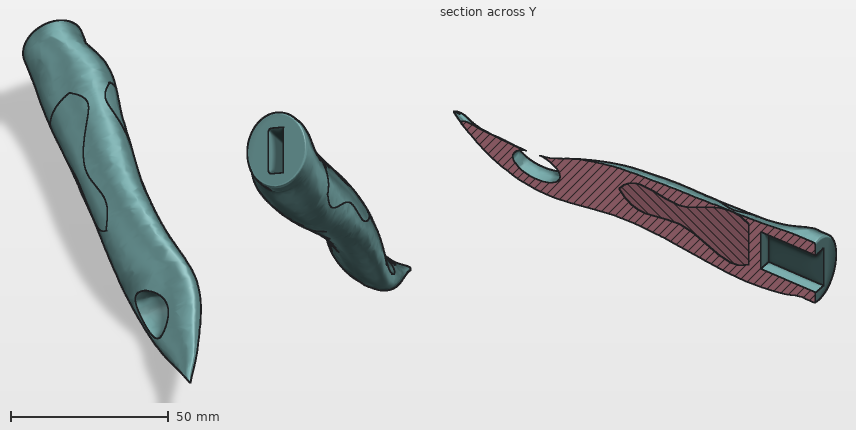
import cadquery as cq
import math

LENGTH = 141.0

COLLAR_LENGTH = 4.0
COLLAR_WIDTH = 20.0
COLLAR_HEIGHT = 25.1
BUTT_FILLET = 0.8

SLOT_WIDTH = 5.0
SLOT_HEIGHT = 15.1
SLOT_DEPTH = 21.2
SLOT_CENTER_Y = 0.21
SLOT_CENTER_Z = -0.3
SLOT_CORNER_RADIUS = 1.1

COLLAR_SECTION = (-COLLAR_WIDTH / 2, COLLAR_WIDTH / 2, -COLLAR_HEIGHT / 2, COLLAR_HEIGHT / 2, 0.0)
GRIP_SECTIONS = [
    (COLLAR_LENGTH, *COLLAR_SECTION),
    (6.8, -10.0, 10.0, -12.7, 12.5, 0.0),
    (10.6, -9.7, 11.7, -13.8, 12.1, 0.05),
    (15.7, -9.6, 13.4, -14.8, 11.7, 0.15),
    (26.0, -9.2, 13.3, -16.0, 11.1, 0.22),
    (36.1, -8.6, 11.8, -15.7, 10.7, 0.22),
    (46.2, -8.3, 11.0, -14.4, 10.2, 0.2),
    (56.5, -8.3, 10.0, -13.3, 9.7, 0.2),
    (66.7, -8.0, 9.6, -12.5, 9.2, 0.22),
    (76.8, -7.9, 10.0, -12.8, 8.5, 0.3),
    (84.6, -7.5, 11.0, -13.7, 7.3, 0.36),
    (93.0, -6.6, 12.8, -15.0, 5.9, 0.45),
    (102.4, -5.1, 14.2, -16.0, 4.0, 0.57),
    (112.5, -3.8, 12.7, -14.8, 2.3, 0.57),
    (122.8, -2.4, 8.7, -11.3, 1.3, 0.52),
    (133.0, -1.1, 4.1, -5.1, 0.5, 0.5),
    (LENGTH, -0.4, -0.1, -0.1, 0.1, 0.0),
]
SECTION_POINTS = 16

HOLE_CENTER_X = 107.6
HOLE_CENTER_Z = -5.5
HOLE_LENGTH = 18.0
HOLE_HEIGHT = 10.2

INLAY_BACK_X = 26.0
INLAY_BACK_TOP_Z = 8.2
INLAY_BACK_BOTTOM_Z = -8.2
INLAY_POINT = (75.6, 0.0)
INLAY_TOP_CURVE = [(32.1, 10.3), (41.6, 7.9), (52.9, 3.5), (67.7, 5.2)]
INLAY_BOTTOM_CURVE = [(65.5, -5.4), (52.2, -3.7), (41.6, -7.3), (32.5, -10.5)]

THROUGH_DEPTH = 56.4


def oval_wire(x, y_min, y_max, z_min, z_max, lean):
    """Closed oval in the YZ plane at x that just fits the given limits."""
    y_center = (y_min + y_max) / 2
    z_center = (z_min + z_max) / 2
    y_radius = (y_max - y_min) / 2
    z_radius = (z_max - z_min) / 2
    phase = math.asin(lean)
    points = []
    parameters = [index / SECTION_POINTS for index in range(SECTION_POINTS + 1)]
    for index in range(SECTION_POINTS):
        angle = 2 * math.pi * index / SECTION_POINTS - math.pi / 2
        y = y_center + y_radius * math.cos(angle)
        z = z_center + z_radius * math.sin(angle + phase)
        points.append(cq.Vector(x, y, z))
    return cq.Wire.assembleEdges([cq.Edge.makeSpline(points, periodic=True, parameters=parameters)])


def make_collar():
    butt_face = cq.Face.makeFromWires(oval_wire(0, *COLLAR_SECTION))
    collar = cq.Solid.extrudeLinear(butt_face, cq.Vector(COLLAR_LENGTH, 0, 0))
    return cq.Workplane(collar).faces("<X").edges().fillet(BUTT_FILLET)


def make_grip():
    sections = [oval_wire(*section) for section in GRIP_SECTIONS]
    return cq.Workplane(cq.Solid.makeLoft(sections))


def make_tang_slot():
    """Slot rounded at its two long edges on the +Y side."""
    return (
        cq.Workplane("YZ")
        .center(SLOT_CENTER_Y, SLOT_CENTER_Z)
        .rect(SLOT_WIDTH, SLOT_HEIGHT)
        .extrude(SLOT_DEPTH)
        .edges("|X and >Y")
        .fillet(SLOT_CORNER_RADIUS)
    )


def make_lanyard_hole():
    return (
        cq.Workplane("XZ", origin=(0, THROUGH_DEPTH / 2, 0))
        .center(HOLE_CENTER_X, HOLE_CENTER_Z)
        .ellipse(HOLE_LENGTH / 2, HOLE_HEIGHT / 2)
        .extrude(THROUGH_DEPTH)
    )


def make_inlay_prism():
    """The inlay outline carried straight through the grip along Y."""
    return (
        cq.Workplane("XZ", origin=(0, THROUGH_DEPTH / 2, 0))
        .moveTo(INLAY_BACK_X, INLAY_BACK_TOP_Z)
        .spline([*INLAY_TOP_CURVE, INLAY_POINT], includeCurrent=True)
        .spline([*INLAY_BOTTOM_CURVE, (INLAY_BACK_X, INLAY_BACK_BOTTOM_Z)], includeCurrent=True)
        .close()
        .extrude(THROUGH_DEPTH)
    )


def make_handle(grip, inlay_prism):
    """Grip and collar in one body, with the slot, hole and inlay opening cut out."""
    pierced_grip = grip.cut(make_lanyard_hole()).cut(inlay_prism)
    return pierced_grip.union(make_collar()).cut(make_tang_slot())


def make_inlay(grip, inlay_prism):
    """Inlay that fills its opening and ends flush with the grip surface."""
    return grip.intersect(inlay_prism)


grip_shape = make_grip()
inlay_opening = make_inlay_prism()
handle = make_handle(grip_shape, inlay_opening)
inlay = make_inlay(grip_shape, inlay_opening)

result = cq.Compound.makeCompound([*handle.solids().vals(), *inlay.solids().vals()])